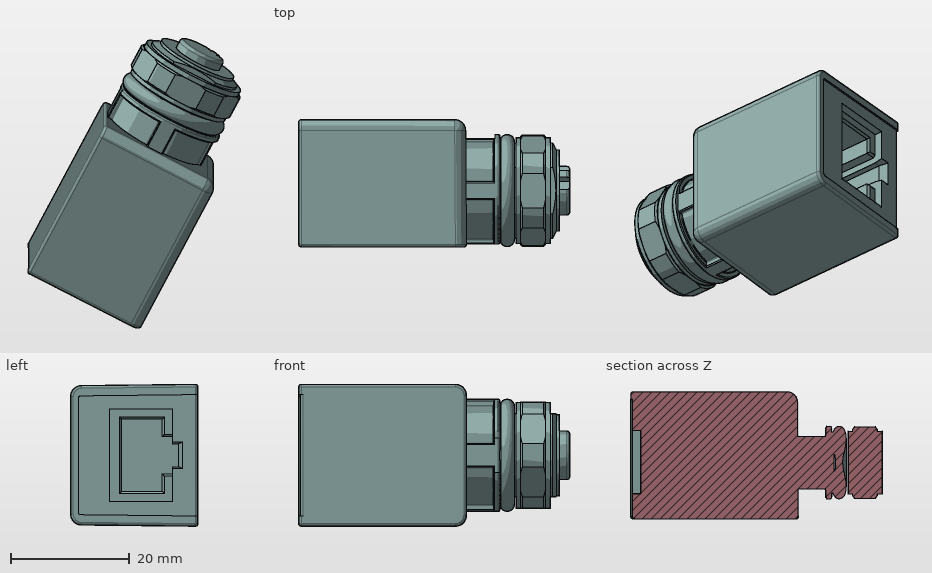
import cadquery as cq
import math

TOLERANCE = 0.005

HOUSING_LENGTH = 28.35
HOUSING_BACK_LENGTH = 28.2
HOUSING_FRONT_Y = -9.5
HOUSING_BACK_Y = 12.0
HOUSING_FRONT_HEIGHT = 24.0
HOUSING_BACK_HEIGHT = 23.53
CORNER_RADIUS = 1.88
EDGE_RADIUS = 0.45

PANEL_DEPTH = 0.27
PANEL_MARGIN_SIDE = 1.75
PANEL_MARGIN_BACK = 1.35
PANEL_CORNER_RADIUS = 0.35

RECESS_BACK_Y = 5.4
RECESS_FRONT_Y = -5.2
RECESS_SIZE_Z = 15.6
RECESS_DEPTH = 1.4
CAVITY_BACK_Y = 3.75
CAVITY_FRONT_Y = -3.85
CAVITY_WIDTH = 12.9
SHOULDER_WIDTH = 7.05
LATCH_Y = -7.05
LATCH_WIDTH = 4.6
CAVITY_DEPTH = 13.75
LEAD_IN = 0.35
LATCH_RAMP = 0.8

NECK_START = HOUSING_BACK_LENGTH - EDGE_RADIUS
COLLAR_RADIUS = 9.47
COLLAR_END = 33.95
COLLAR_END_FILLET = 0.27
SEAT_RADIUS = 8.9
SEAT_END = 34.35
FLAT_FRONT = 9.0
FLAT_BACK = 8.85
FLANGE_START = 33.15
WINDOW_END = 32.9
WINDOW_FLOOR_RADIUS = 8.45
RIB_WIDTH_Y = 3.0
RIB_WIDTH_Z = 4.05
WINDOW_RIM = 0.2
WINDOW_FLOOR_FILLET = 0.15

RING_CENTER = 35.2
RING_WIRE_RADIUS = 1.25
RING_OUTER_RADIUS = 9.47

SPIGOT_OVERLAP = 0.45
SPIGOT_START = COLLAR_END - SPIGOT_OVERLAP
SPIGOT_RADIUS = 8.05
SPIGOT_TIP_RADIUS = 6.85
SPIGOT_FLATS = 14.05
SPIGOT_CONE_START = 42.9
SPIGOT_CONE_END = 43.5
SPIGOT_END = 44.0

NUT_START = 36.7
NUT_END = 42.47
NUT_COLLAR_RADIUS = 17.9 / 2
HEX_START = 37.45
HEX_END = 41.65
HEX_FLATS = 17.95
HEX_CORNER_RADIUS = 9.45
HEX_CHAMFER = 0.3

PLUG_RADIUS = 4.1
PLUG_END = 45.75
PLUG_TIP_RADIUS = 0.55
KEY_FLAT_DISTANCE = 3.0
KEY_WIDTH = 1.65
KEY_ANGLE = 45.0


def box(x0, x1, y0, y1, z0, z1):
    """Axis-aligned block between the given limits."""
    return cq.Workplane("XY").box(x1 - x0, y1 - y0, z1 - z0, centered=False).translate((x0, y0, z0))


def cylinder(x0, x1, radius):
    """Round bar along the X axis."""
    return cq.Workplane("YZ", origin=(x0, 0, 0)).circle(radius).extrude(x1 - x0)


def housing():
    """Box with rounded edges that narrows slightly towards its back."""
    front = HOUSING_FRONT_HEIGHT / 2
    back = HOUSING_BACK_HEIGHT / 2
    section = [
        (HOUSING_FRONT_Y, -front),
        (HOUSING_BACK_Y, -back),
        (HOUSING_BACK_Y, back),
        (HOUSING_FRONT_Y, front),
    ]
    body = cq.Workplane("YZ").polyline(section).close().extrude(HOUSING_LENGTH)
    plan = [
        (0, HOUSING_FRONT_Y),
        (HOUSING_LENGTH, HOUSING_FRONT_Y),
        (HOUSING_BACK_LENGTH, HOUSING_BACK_Y),
        (0, HOUSING_BACK_Y),
    ]
    body = body.intersect(cq.Workplane("XY").polyline(plan).close().extrude(front, both=True))
    rounded = (
        body.edges("|X and >Y")
        .add(body.faces(">X").edges("not <Y"))
        .vals()
    )
    body = body.newObject(rounded).fillet(CORNER_RADIUS)
    return body.faces("<X or <Y").edges().fillet(EDGE_RADIUS)


def panel_recess():
    """Shallow cut in the socket face, leaving a raised rim on three sides."""
    front = HOUSING_FRONT_HEIGHT / 2 - PANEL_MARGIN_SIDE
    back = HOUSING_BACK_HEIGHT / 2 - PANEL_MARGIN_SIDE
    back_y = HOUSING_BACK_Y - PANEL_MARGIN_BACK
    section = [
        (HOUSING_FRONT_Y, -front),
        (back_y, -back),
        (back_y, back),
        (HOUSING_FRONT_Y, front),
    ]
    sheet = cq.Workplane("YZ").polyline(section).close().extrude(PANEL_DEPTH)
    sheet = sheet.edges("|X and >Y").fillet(PANEL_CORNER_RADIUS)
    round_x = PANEL_DEPTH + EDGE_RADIUS
    round_y = HOUSING_FRONT_Y + EDGE_RADIUS
    front_edge = box(0, round_x, HOUSING_FRONT_Y, round_y, -front, front)
    edge_round = cq.Workplane("XY", origin=(round_x, round_y, -front)).circle(EDGE_RADIUS).extrude(2 * front)
    return sheet.union(front_edge.cut(edge_round))


def socket_cut():
    """Rectangular recess and the stepped jack cavity behind it."""
    half_z = RECESS_SIZE_Z / 2
    floor_x = PANEL_DEPTH + RECESS_DEPTH
    cut = box(0, floor_x, RECESS_FRONT_Y, RECESS_BACK_Y, -half_z, half_z)

    def opening(inset):
        """Stepped jack outline, pulled in by the inset."""
        half = CAVITY_WIDTH / 2 - inset
        shoulder = SHOULDER_WIDTH / 2 - inset
        front_y = CAVITY_FRONT_Y + inset
        return [
            (CAVITY_BACK_Y - inset, -half),
            (CAVITY_BACK_Y - inset, half),
            (front_y, half),
            (front_y, shoulder),
            (RECESS_FRONT_Y, shoulder),
            (RECESS_FRONT_Y, -shoulder),
            (front_y, -shoulder),
            (front_y, -half),
        ]

    lead_in = (
        cq.Workplane("YZ", origin=(floor_x, 0, 0)).polyline(opening(0)).close()
        .workplane(offset=LEAD_IN).polyline(opening(LEAD_IN)).close().loft(ruled=True)
    )
    cavity = cq.Workplane("YZ", origin=(floor_x, 0, 0)).polyline(opening(LEAD_IN)).close()
    cavity = cavity.extrude(CAVITY_DEPTH)

    def latch(inset, ramp):
        """Latch notch outline, narrowed by the inset and shortened by the ramp."""
        half = LATCH_WIDTH / 2 - inset
        end_y = LATCH_Y + ramp
        return [(RECESS_FRONT_Y, -half), (RECESS_FRONT_Y, half), (end_y, half), (end_y, -half)]

    latch_mouth = (
        cq.Workplane("YZ").polyline(latch(0, 0)).close()
        .workplane(offset=floor_x).polyline(latch(LEAD_IN, LATCH_RAMP)).close().loft(ruled=True)
    )
    latch_slot = cq.Workplane("YZ", origin=(floor_x, 0, 0)).polyline(latch(LEAD_IN, LATCH_RAMP)).close()
    latch_slot = latch_slot.extrude(CAVITY_DEPTH)
    return cut.union(lead_in).union(cavity).union(latch_mouth).union(latch_slot)


def window_cut(side_y, side_z):
    """Cutter for the window in one quadrant, with rounded floor edges."""
    reach = 2 * COLLAR_RADIUS
    y_limits = sorted((side_y * RIB_WIDTH_Y / 2, side_y * reach))
    z_limits = sorted((side_z * RIB_WIDTH_Z / 2, side_z * reach))
    window = box(NECK_START, WINDOW_END, *y_limits, *z_limits)
    window = window.cut(cylinder(NECK_START, WINDOW_END, WINDOW_FLOOR_RADIUS))
    floor_edges = [
        edge for edge in window.edges("not <X").vals()
        if math.hypot(edge.Center().y, edge.Center().z) < SEAT_RADIUS
    ]
    return window.newObject(floor_edges).fillet(WINDOW_FLOOR_FILLET)


def is_window_rim(edge):
    """True for a window edge lying on the outer surface of the collar."""
    ends = (edge.startPoint(), edge.endPoint())
    on_surface = min(math.hypot(end.y, end.z) for end in ends) > FLAT_BACK + WINDOW_RIM
    clear_in_y = min(abs(end.y) for end in ends) > RIB_WIDTH_Y / 2 - TOLERANCE
    clear_in_z = min(abs(end.z) for end in ends) > RIB_WIDTH_Z / 2 - TOLERANCE
    at_window_end = abs(edge.BoundingBox().xmax - WINDOW_END) < TOLERANCE
    return on_surface and clear_in_y and clear_in_z and at_window_end


def neck():
    """Collar with two flats and four windows between cross-shaped ribs."""
    reach = 2 * COLLAR_RADIUS
    collar = cylinder(NECK_START, COLLAR_END, COLLAR_RADIUS)
    collar = collar.cut(box(NECK_START, COLLAR_END, -reach, -FLAT_FRONT, -reach, reach))
    collar = collar.cut(box(NECK_START, FLANGE_START, FLAT_BACK, reach, -reach, reach))
    collar = collar.faces(">X").edges().fillet(COLLAR_END_FILLET)
    for side_y in (-1, 1):
        for side_z in (-1, 1):
            collar = collar.cut(window_cut(side_y, side_z))
    rim_edges = [edge for edge in collar.edges().vals() if is_window_rim(edge)]
    collar = collar.newObject(rim_edges).chamfer(WINDOW_RIM)
    return collar.union(cylinder(COLLAR_END - COLLAR_END_FILLET, SEAT_END, SEAT_RADIUS))


def sealing_ring():
    """Round-section ring seated behind the collar."""
    wire_center = RING_OUTER_RADIUS - RING_WIRE_RADIUS
    section = cq.Workplane("XY").center(RING_CENTER, wire_center).circle(RING_WIRE_RADIUS)
    return section.revolve(360, (0, -wire_center, 0), (1, -wire_center, 0))


def spigot():
    """Round end with a conical shoulder and two flats."""
    profile = [
        (SPIGOT_START, 0),
        (SPIGOT_START, SPIGOT_RADIUS),
        (SPIGOT_CONE_START, SPIGOT_RADIUS),
        (SPIGOT_CONE_END, SPIGOT_TIP_RADIUS),
        (SPIGOT_END, SPIGOT_TIP_RADIUS),
        (SPIGOT_END, 0),
    ]
    turned = cq.Workplane("XY").polyline(profile).close().revolve(360, (0, 0, 0), (1, 0, 0))
    wide = SPIGOT_RADIUS
    return turned.intersect(box(SPIGOT_START, SPIGOT_END, -wide, wide, -SPIGOT_FLATS / 2, SPIGOT_FLATS / 2))


def nut():
    """Hexagon with turned corners between two round collars."""
    across_corners = HEX_FLATS / math.cos(math.pi / 6)
    hexagon = cq.Workplane("YZ", origin=(HEX_START, 0, 0)).polygon(6, across_corners)
    hexagon = hexagon.extrude(HEX_END - HEX_START)
    blank = cylinder(HEX_START, HEX_END, HEX_CORNER_RADIUS).edges().chamfer(HEX_CHAMFER)
    return cylinder(NUT_START, NUT_END, NUT_COLLAR_RADIUS).union(hexagon.intersect(blank))


def plug():
    """Round insert with a coding key standing on a flat."""
    start = SPIGOT_CONE_END
    insert = cylinder(start, PLUG_END, PLUG_RADIUS).faces(">X").edges().fillet(PLUG_TIP_RADIUS)
    reach = PLUG_RADIUS
    beside_key = box(start, PLUG_END, -reach, reach, KEY_FLAT_DISTANCE, reach)
    beside_key = beside_key.cut(box(start, PLUG_END, -KEY_WIDTH / 2, KEY_WIDTH / 2, 0, reach))
    return insert.cut(beside_key.rotate((0, 0, 0), (1, 0, 0), -KEY_ANGLE))


result = housing().cut(panel_recess())
result = result.cut(socket_cut())
for part in (neck(), spigot(), sealing_ring(), nut(), plug()):
    result = result.union(part)